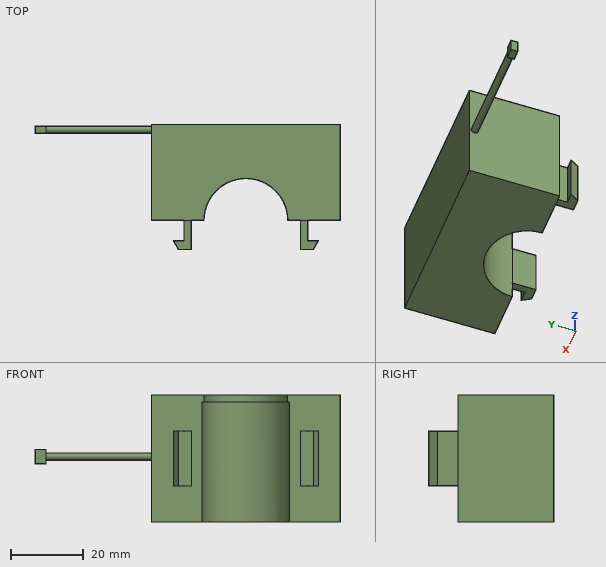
import cadquery as cq

total_length = 84.0
block_length = 52.0
block_depth = 26.5
block_height = 35.0

bore_radius = 12.0
lip_radius = 11.5
lip_height = 2.0

clip_reach = 8.1
clip_height = 15.0
clip_inner_offset = 15.0
stem_thickness = 2.0
barb_offset = 20.0
barb_tip_offset = 18.6
barb_thickness = 2.5

cable_diameter = 2.0
cable_back_inset = 1.5
cable_rise = 0.5
cable_embed = 0.8
connector_length = 3.0
connector_depth = 2.0
connector_height = 4.0

block_left = -block_length / 2
block_bottom = -block_height / 2
cable_left = block_length / 2 - total_length
cable_y = block_depth - cable_back_inset


def make_block():
    block = cq.Workplane("XY").box(
        block_length, block_depth, block_height, centered=(True, False, True)
    )
    wide_bore_height = block_height - lip_height
    lower_end = cq.Workplane("XY").workplane(offset=block_bottom)
    wide_bore = lower_end.circle(bore_radius).extrude(wide_bore_height)
    lip_bore = lower_end.circle(lip_radius).extrude(block_height)
    return block.cut(wide_bore).cut(lip_bore)


def make_clip(side):
    """Barbed clip; side is -1 for the left one and 1 for the right one."""
    barb_y = barb_thickness - clip_reach
    stem_outer = clip_inner_offset + stem_thickness
    outline = [
        (clip_inner_offset, 0),
        (clip_inner_offset, -clip_reach),
        (barb_tip_offset, -clip_reach),
        (barb_offset, barb_y),
        (stem_outer, barb_y),
        (stem_outer, 0),
    ]
    return (
        cq.Workplane("XY")
        .polyline([(side * x, y) for x, y in outline])
        .close()
        .extrude(clip_height / 2, both=True)
    )


def make_cable():
    cable_length = block_left + cable_embed - cable_left
    cable_end = cq.Workplane("YZ", origin=(cable_left, cable_y, cable_rise))
    cable = cable_end.circle(cable_diameter / 2).extrude(cable_length)
    connector = cable_end.rect(connector_depth, connector_height).extrude(connector_length)
    return cable.union(connector)


result = make_block().union(make_cable())
for clip_side in (-1, 1):
    result = result.union(make_clip(clip_side))